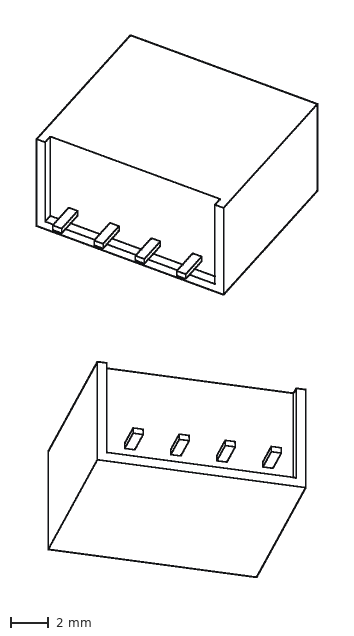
import cadquery as cq

HOUSING_WIDTH = 11.48
HOUSING_DEPTH = 10.0
HOUSING_HEIGHT = 6.0
WALL = 0.53
RECESS_DEPTH = 0.55

PIN_COUNT = 4
PIN_PITCH = 2.54
PIN_WIDTH = 0.55
PIN_THICKNESS = 0.32
PIN_PROTRUSION = 1.15
PIN_CENTRE_Z = 1.4

pin_length = RECESS_DEPTH + PIN_PROTRUSION


def front_box(width, depth, height):
    """Box centred on X, reaching from Y = 0 to +Y and from Z = 0 to +Z."""
    return cq.Workplane("XY").box(width, depth, height, centered=(True, False, False))


def make_housing():
    block = front_box(HOUSING_WIDTH, HOUSING_DEPTH, HOUSING_HEIGHT)
    recess = front_box(HOUSING_WIDTH - 2 * WALL, RECESS_DEPTH, HOUSING_HEIGHT - WALL)
    return block.cut(recess.translate((0, 0, WALL)))


def make_pin(x):
    pin = front_box(PIN_WIDTH, pin_length, PIN_THICKNESS)
    return pin.translate((x, -PIN_PROTRUSION, PIN_CENTRE_Z - PIN_THICKNESS / 2))


housing = make_housing()
first_pin_x = -PIN_PITCH * (PIN_COUNT - 1) / 2
pins = [make_pin(first_pin_x + i * PIN_PITCH) for i in range(PIN_COUNT)]

result = cq.Compound.makeCompound([housing.val(), *[pin.val() for pin in pins]])